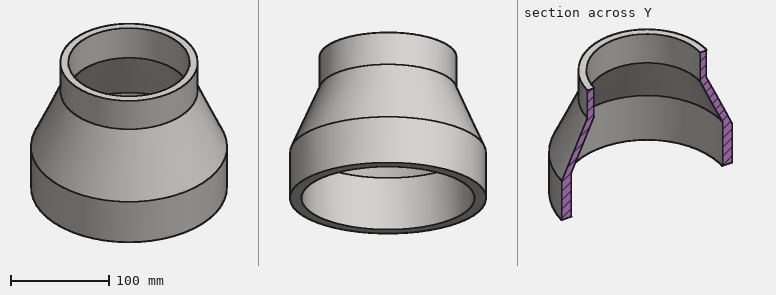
import cadquery as cq

large_radius = 100.0
small_radius = 70.0
large_wall = 11.8
small_wall = 8.2
total_height = 154.0
large_height = 50.0
small_height = 35.0
large_bore_height = 56.5
small_bore_height = 36.5

large_bore_radius = large_radius - large_wall
small_bore_radius = small_radius - small_wall


def stepped_solid(lower_radius, upper_radius, lower_height, upper_height):
    """Cylinder, cone and smaller cylinder stacked along Z."""
    profile = [
        (0, 0),
        (lower_radius, 0),
        (lower_radius, lower_height),
        (upper_radius, total_height - upper_height),
        (upper_radius, total_height),
        (0, total_height),
    ]
    return cq.Workplane("XZ").polyline(profile).close().revolve(360, (0, 0), (0, 1))


outer_body = stepped_solid(large_radius, small_radius, large_height, small_height)
bore = stepped_solid(large_bore_radius, small_bore_radius, large_bore_height, small_bore_height)
result = outer_body.cut(bore)